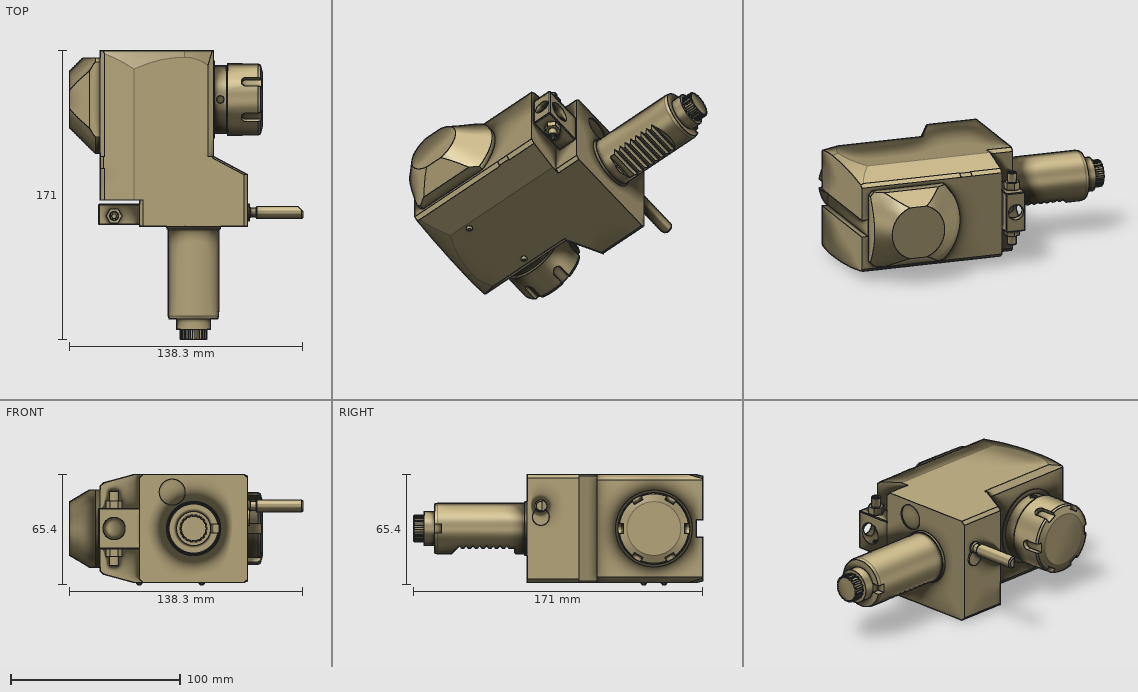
import cadquery as cq
import math


TOTAL_LENGTH = 171
OVERLAP = 1.7

HALF_SIZE = 32.0
HOUSING_LENGTH = 104.0
HEAD_RIGHT = 11.8
HEAD_LEFT = -55.2
HEAD_START = 15.5
SHOULDER_LOW = 30.6
SHOULDER_HIGH = 41.4
BASE_BEVEL = 2.0
SHOULDER_BEVEL = 1.0
HEAD_BEVEL = 3.2
TAPER_START = -35.2
TAPER_END = -52.8
TAPER_DROP = 4.8
HEAD_CORNER_DROP = 2.0
BEVEL_PAD_WIDTH = 0.5
BEVEL_PAD_START = 34.4
BEVEL_PAD_END = 41.4
END_SLOT_WIDTH = 10.3
END_SLOT_DEPTH = 3.8

CROWN_X = -5.5
CROWN_DROP = 0.94
CROWN_SLOPE = 0.24
CROWN_LEFT_RADIUS = 265
CROWN_RIGHT_RADIUS = 89
CROWN_LENGTH = 20.5

SPINDLE_Y = 75.0

CAP_END = -73.5
CAP_RIM_END = -58.1
CAP_RADIUS = 32.0
CAP_TIP_RADIUS = CAP_RADIUS - (CAP_RIM_END - CAP_END)
CAP_HALF_HEIGHT = 22.9
CAP_TIP_HALF_HEIGHT = 15.7
CAP_FLAT_END = -61.5
CAP_MAX_Y = 99.7

SEAT_RADIUS = 22.7
SEAT_END = 12.3
COLLAR_RADIUS = 20.0
COLLAR_END = 19.3
NECK_RADIUS = 17.1
NUT_RADIUS = 21.2
NUT_START = 20.2
NUT_BEVEL_START = 38.1
NUT_RIM_END = 39.5
NUT_END = 40.7
NUT_RIM_RADIUS = 20.5
NUT_FACE_RADIUS = 15.9
NUT_SLOT_COUNT = 6
NUT_SLOT_WIDTH = 5.8
NUT_SLOT_START = 28.2
NUT_SLOT_DEPTH = 3.0
COLLAR_HOLE_DIAMETER = 4.5
COLLAR_HOLE_DEPTH = 3.5

FLANGE_RADIUS = 16.0
FLANGE_TIP_RADIUS = 15.7
FLANGE_LENGTH = 1.5
SHANK_ROOT_RADIUS = 15.2
SHANK_ROOT_END = 2.4
SHANK_RADIUS = 15.0
SHANK_LENGTH = 54.7
SHANK_BEVEL = 1.9
SHANK_END_RADIUS = 14.5
JOURNAL_RADIUS = 10.1
JOURNAL_END = 60.9
SPLINE_RADIUS = 8.0
SPLINE_ROOT_RADIUS = 7.2
SPLINE_END = TOTAL_LENGTH - HOUSING_LENGTH
SPLINE_BEVEL = 0.5
SPLINE_TEETH = 18
DRIVE_SLOT_WIDTH = 5.5
DRIVE_SLOT_DEPTH = 4.3

RACK_START = 7.4
RACK_END = 44.8
RACK_FLOOR_Z = -11.8
RACK_GROOVES = 8
RACK_GROOVE_SPAN = 28.0
FIRST_GROOVE = 12
GROOVE_DEPTH = 1.5
GROOVE_WIDTH = 2.9
RACK_CORNER = 0.9

RECESS_X = -12.7
RECESS_Z = 21.5
RECESS_DIAMETER = 15.4
RECESS_DEPTH = 0.9

BLOCK_LEFT = -56.3
BLOCK_FRONT = 1.0
BLOCK_BACK = 13.2
BLOCK_HALF_HEIGHT = 12
BLOCK_EDGE_BEVEL = 0.5
SCREW_X = -47.0
SCREW_Y = 6.2
NOZZLE_DIAMETER = 13.2
NOZZLE_DEPTH = 11.0
PORT_Y = 7.0
PORT_DIAMETER = 9.4
PORT_DEPTH = 20.5
PORT_SOCKET_CORNERS = 3.0
PORT_SOCKET_DEPTH = 0.9
PASSAGE_DIAMETER = 3.5
PASSAGE_HALF_LENGTH = 7.5
LOCK_NUT_CORNERS = 9.4
LOCK_NUT_HEIGHT = 4.5
SCREW_DIAMETER = 5.3
SCREW_END_Z = 22.2
SCREW_END_BEVEL = 0.3
SCREW_SOCKET_CORNERS = 3.0
SCREW_SOCKET_DEPTH = 1.7

PIN_Y = 8.2
PIN_Z = 13.3
PIN_RADIUS = 3.6
PIN_HEAD_BEVEL_START = 32.7
PIN_HEAD_END = 33.7
PIN_NECK_RADIUS = 2.7
PIN_BODY_START = 36.8
PIN_BODY_BEVEL = 0.7
PIN_END = 64.8
PIN_TIP_BEVEL = 0.9
PIN_CUT = 3.0

CLAMP_Z = 6.8
CLAMP_RADIUS = 5.0
CLAMP_HEIGHT = 1.0

PLUG_POSITIONS = [(-32.1, 81.0), (4.8, 69.0)]
PLUG_RADIUS = 1.9
PLUG_TIP_RADIUS = 0.9
PLUG_HEIGHT = 1.4


def box(x_min, x_max, y_min, y_max, z_min, z_max):
    size = (x_max - x_min, y_max - y_min, z_max - z_min)
    return cq.Workplane().box(*size, centered=False).translate((x_min, y_min, z_min))


def turned_about_x(profile, axis_y, axis_z):
    """Revolve (x, radius) points about an axis parallel to X."""
    solid = cq.Workplane("XY").polyline(profile).close().revolve(360, (0, 0, 0), (1, 0, 0))
    return solid.translate((0, axis_y, axis_z))


def edge_bevel(start, end, width):
    """Prisms that bevel the top and bottom edges from start to end, material on the left."""
    dx = end[0] - start[0]
    dy = end[1] - start[1]
    plane = cq.Plane(origin=(*start, 0), xDir=(dy, -dx, 0), normal=(dx, dy, 0))
    prisms = cq.Workplane(plane)
    for side in (1, -1):
        edge = side * HALF_SIZE
        prisms = prisms.polyline([(-width, edge), (0, edge - side * width), (0, edge)]).close()
    return prisms.extrude(math.hypot(dx, dy))


def with_mirror(solid):
    """Add the mirror image in the plane Z = 0."""
    return solid.union(solid.mirror("XY"))


def crown_cutter():
    """Material above the crowned, sloping face at the far end of the head."""
    peak = HALF_SIZE - CROWN_DROP
    left, right = HEAD_LEFT - OVERLAP, HEAD_RIGHT + OVERLAP

    def on_arc(x, radius):
        return (x, peak - radius + math.sqrt(radius ** 2 - (x - CROWN_X) ** 2))

    clear_z = HALF_SIZE + OVERLAP
    wire = (
        cq.Workplane("XZ", origin=(0, HOUSING_LENGTH, 0))
        .moveTo(*on_arc(left, CROWN_LEFT_RADIUS))
        .threePointArc(on_arc((left + CROWN_X) / 2, CROWN_LEFT_RADIUS), (CROWN_X, peak))
        .threePointArc(on_arc((right + CROWN_X) / 2, CROWN_RIGHT_RADIUS), on_arc(right, CROWN_RIGHT_RADIUS))
        .lineTo(right, clear_z)
        .lineTo(left, clear_z)
        .close()
        .val()
    )
    direction = cq.Vector(0, -CROWN_LENGTH, CROWN_LENGTH * CROWN_SLOPE)
    return cq.Workplane(cq.Solid.extrudeLinear(wire, [], direction))


def housing():
    outline = [
        (-HALF_SIZE, 0),
        (HALF_SIZE, 0),
        (HALF_SIZE, SHOULDER_LOW),
        (HEAD_RIGHT, SHOULDER_HIGH),
        (HEAD_RIGHT, HOUSING_LENGTH),
        (-HALF_SIZE, HOUSING_LENGTH),
    ]
    body = cq.Workplane("XY").polyline(outline).close().extrude(HALF_SIZE, both=True)
    bevels = [BASE_BEVEL, SHOULDER_BEVEL, HEAD_BEVEL]
    for start, end, width in zip(outline[1:4], outline[2:5], bevels):
        body = body.cut(edge_bevel(start, end, width))
    body = body.cut(edge_bevel(outline[-1], outline[0], BASE_BEVEL))

    taper_z = HALF_SIZE - TAPER_DROP
    corner_z = taper_z - HEAD_CORNER_DROP
    upper = [(0, HALF_SIZE), (TAPER_START, HALF_SIZE), (TAPER_END, taper_z), (HEAD_LEFT, corner_z)]
    lower = [(x, -z) for x, z in reversed(upper)]
    head_plane = cq.Workplane("XZ", origin=(0, HOUSING_LENGTH, 0))
    body = body.union(head_plane.polyline(upper + lower).close().extrude(HOUSING_LENGTH - HEAD_START))

    taper_slope = TAPER_DROP / (TAPER_START - TAPER_END)
    pad_tip = (TAPER_END - BEVEL_PAD_WIDTH, taper_z - BEVEL_PAD_WIDTH * taper_slope)
    pad_root = (TAPER_END + OVERLAP, corner_z)
    pad_plane = cq.Workplane("XZ", origin=(0, BEVEL_PAD_END, 0))
    pad = pad_plane.polyline([(TAPER_END, taper_z), pad_tip, (HEAD_LEFT, corner_z), pad_root]).close()
    body = body.union(with_mirror(pad.extrude(BEVEL_PAD_END - BEVEL_PAD_START)))

    cutter = crown_cutter()
    body = body.cut(cutter).cut(cutter.mirror("XY"))

    slot_half = END_SLOT_WIDTH / 2
    slot_floor = HOUSING_LENGTH - END_SLOT_DEPTH
    body = body.cut(box(HEAD_LEFT, HEAD_RIGHT, slot_floor, HOUSING_LENGTH, -slot_half, slot_half))

    recess = cq.Workplane("XZ").center(RECESS_X, RECESS_Z).circle(RECESS_DIAMETER / 2).extrude(-RECESS_DEPTH)
    return body.cut(recess)


def cap():
    inside = HEAD_LEFT + OVERLAP
    profile = [
        (inside, 0),
        (inside, CAP_RADIUS),
        (CAP_RIM_END, CAP_RADIUS),
        (CAP_END, CAP_TIP_RADIUS),
        (CAP_END, 0),
    ]
    upper = [(inside, CAP_HALF_HEIGHT), (CAP_FLAT_END, CAP_HALF_HEIGHT), (CAP_END, CAP_TIP_HALF_HEIGHT)]
    lower = [(x, -z) for x, z in reversed(upper)]
    flats = cq.Workplane("XZ", origin=(0, CAP_MAX_Y, 0)).polyline(upper + lower).close().extrude(CAP_MAX_Y)
    return turned_about_x(profile, SPINDLE_Y, 0).intersect(flats)


def collet_nut():
    inside = HEAD_RIGHT - OVERLAP
    profile = [
        (inside, 0),
        (inside, SEAT_RADIUS),
        (SEAT_END, SEAT_RADIUS),
        (SEAT_END, COLLAR_RADIUS),
        (COLLAR_END, COLLAR_RADIUS),
        (COLLAR_END, NECK_RADIUS),
        (NUT_START, NECK_RADIUS),
        (NUT_START, NUT_RADIUS),
        (NUT_BEVEL_START, NUT_RADIUS),
        (NUT_RIM_END, NUT_RIM_RADIUS),
        (NUT_END, NUT_FACE_RADIUS),
        (NUT_END, 0),
    ]
    nut = turned_about_x(profile, 0, 0)

    slot_end = NUT_END + NUT_SLOT_WIDTH
    slot = (
        cq.Workplane("XZ", origin=(0, NUT_RADIUS - NUT_SLOT_DEPTH, 0))
        .center((NUT_SLOT_START + slot_end) / 2, 0)
        .slot2D(slot_end - NUT_SLOT_START, NUT_SLOT_WIDTH)
        .extrude(-2 * NUT_SLOT_DEPTH)
    )
    for i in range(NUT_SLOT_COUNT):
        nut = nut.cut(slot.rotate((0, 0, 0), (1, 0, 0), i * 360 / NUT_SLOT_COUNT))

    hole = (
        cq.Workplane("XY", origin=((SEAT_END + COLLAR_END) / 2, 0, COLLAR_RADIUS))
        .circle(COLLAR_HOLE_DIAMETER / 2)
        .extrude(-COLLAR_HOLE_DEPTH)
    )
    return nut.cut(hole).translate((0, SPINDLE_Y, 0))


def shank():
    profile = [
        (0, OVERLAP),
        (FLANGE_RADIUS, OVERLAP),
        (FLANGE_RADIUS, 0),
        (FLANGE_TIP_RADIUS, -FLANGE_LENGTH),
        (SHANK_ROOT_RADIUS, -FLANGE_LENGTH),
        (SHANK_RADIUS, -SHANK_ROOT_END),
        (SHANK_RADIUS, SHANK_BEVEL - SHANK_LENGTH),
        (SHANK_END_RADIUS, -SHANK_LENGTH),
        (JOURNAL_RADIUS, -SHANK_LENGTH),
        (JOURNAL_RADIUS, -JOURNAL_END),
        (0, -JOURNAL_END),
    ]
    body = cq.Workplane("XY").polyline(profile).close().revolve(360, (0, 0, 0), (0, 1, 0))

    bottom_z = -SHANK_RADIUS
    depth = RACK_FLOOR_Z - bottom_z
    flat = [
        (RACK_CORNER - RACK_START, bottom_z),
        (-RACK_START, bottom_z + RACK_CORNER),
        (-RACK_START, RACK_FLOOR_Z),
        (depth - RACK_END, RACK_FLOOR_Z),
        (-RACK_END, bottom_z),
    ]
    rack_plane = cq.Workplane("YZ")
    body = body.cut(rack_plane.polyline(flat).close().extrude(SHANK_RADIUS, both=True))
    for i in range(RACK_GROOVES):
        y = -FIRST_GROOVE - i * RACK_GROOVE_SPAN / (RACK_GROOVES - 1)
        left, right = y - GROOVE_WIDTH / 2, y + GROOVE_WIDTH / 2
        groove = [(left, RACK_FLOOR_Z), (y, RACK_FLOOR_Z + GROOVE_DEPTH), (right, RACK_FLOOR_Z)]
        body = body.cut(rack_plane.polyline(groove).close().extrude(SHANK_RADIUS, both=True))

    half = DRIVE_SLOT_WIDTH / 2
    slot_y = (-SHANK_LENGTH, DRIVE_SLOT_DEPTH - SHANK_LENGTH)
    return body.cut(box(JOURNAL_RADIUS, FLANGE_RADIUS, *slot_y, -half, half))


def spline():
    """Toothed drive end; each tooth gap is a straight-sided groove."""
    length = SPLINE_END - JOURNAL_END
    toothed = (
        cq.Workplane("XZ", origin=(0, -JOURNAL_END, 0))
        .circle(SPLINE_RADIUS)
        .extrude(length)
        .faces("<Y")
        .chamfer(SPLINE_BEVEL)
    )
    gap_half = math.pi * SPLINE_RADIUS / SPLINE_TEETH / 2
    gap = box(SPLINE_ROOT_RADIUS, SPLINE_RADIUS + OVERLAP, -SPLINE_END, -JOURNAL_END, -gap_half, gap_half)
    for i in range(SPLINE_TEETH):
        toothed = toothed.cut(gap.rotate((0, 0, 0), (0, 1, 0), (i + 0.5) * 360 / SPLINE_TEETH))
    return toothed


def coolant_block():
    block = box(BLOCK_LEFT, -HALF_SIZE, BLOCK_FRONT, BLOCK_BACK, -BLOCK_HALF_HEIGHT, BLOCK_HALF_HEIGHT)
    block = block.edges("<X or |X").chamfer(BLOCK_EDGE_BEVEL)

    nozzle = cq.Workplane("XZ", origin=(SCREW_X, BLOCK_FRONT, 0)).circle(NOZZLE_DIAMETER / 2)
    block = block.cut(nozzle.extrude(-NOZZLE_DEPTH))

    port = cq.Workplane("YZ", origin=(BLOCK_LEFT, PORT_Y, 0)).circle(PORT_DIAMETER / 2).extrude(PORT_DEPTH)
    socket = (
        cq.Workplane("YZ", origin=(BLOCK_LEFT + PORT_DEPTH, PORT_Y, 0))
        .polygon(6, PORT_SOCKET_CORNERS)
        .extrude(PORT_SOCKET_DEPTH)
    )
    block = block.cut(port).cut(socket)

    passage = cq.Workplane("XY", origin=(SCREW_X, SCREW_Y, 0)).circle(PASSAGE_DIAMETER / 2)
    block = block.cut(passage.extrude(PASSAGE_HALF_LENGTH, both=True))

    screw_plane = cq.Workplane("XY", origin=(SCREW_X, SCREW_Y, BLOCK_HALF_HEIGHT))
    lock_nut = screw_plane.polygon(6, LOCK_NUT_CORNERS).extrude(LOCK_NUT_HEIGHT)
    screw = screw_plane.circle(SCREW_DIAMETER / 2).extrude(SCREW_END_Z - BLOCK_HALF_HEIGHT)
    screw = screw.faces(">Z").chamfer(SCREW_END_BEVEL)
    screw = screw.faces(">Z").workplane().polygon(6, SCREW_SOCKET_CORNERS).cutBlind(-SCREW_SOCKET_DEPTH)
    return block.union(with_mirror(lock_nut.union(screw)))


def locating_pin():
    inside = HALF_SIZE - OVERLAP
    profile = [
        (inside, 0),
        (inside, PIN_RADIUS),
        (PIN_HEAD_BEVEL_START, PIN_RADIUS),
        (PIN_HEAD_END, PIN_NECK_RADIUS),
        (PIN_BODY_START, PIN_NECK_RADIUS),
        (PIN_BODY_START, PIN_RADIUS - PIN_BODY_BEVEL),
        (PIN_BODY_START + PIN_BODY_BEVEL, PIN_RADIUS),
        (PIN_END - PIN_TIP_BEVEL, PIN_RADIUS),
        (PIN_END, PIN_RADIUS - PIN_TIP_BEVEL),
        (PIN_END, 0),
    ]
    pin = turned_about_x(profile, PIN_Y, PIN_Z)
    pin_top = PIN_Y + PIN_RADIUS
    corner = [(PIN_END - PIN_CUT, pin_top), (PIN_END, pin_top - PIN_CUT), (PIN_END, pin_top)]
    slant = cq.Workplane("XY", origin=(0, 0, PIN_Z)).polyline(corner).close()
    return pin.cut(slant.extrude(PIN_RADIUS, both=True))


def clamp_screw():
    plane = cq.Workplane("YZ", origin=(HALF_SIZE, PIN_Y, CLAMP_Z))
    return plane.circle(CLAMP_RADIUS).extrude(CLAMP_HEIGHT)


def plug_screw(x, y):
    profile = [
        (0, OVERLAP),
        (PLUG_RADIUS, OVERLAP),
        (PLUG_RADIUS, 0),
        (PLUG_TIP_RADIUS, -PLUG_HEIGHT),
        (0, -PLUG_HEIGHT),
    ]
    plug = cq.Workplane("XZ").polyline(profile).close().revolve(360, (0, 0, 0), (0, 1, 0))
    return plug.translate((x, y, -HALF_SIZE))


result = housing()
attachments = [
    cap(),
    collet_nut(),
    shank(),
    spline(),
    coolant_block(),
    locating_pin(),
    clamp_screw(),
]
for feature in attachments:
    result = result.union(feature)
for position in PLUG_POSITIONS:
    result = result.union(plug_screw(*position))